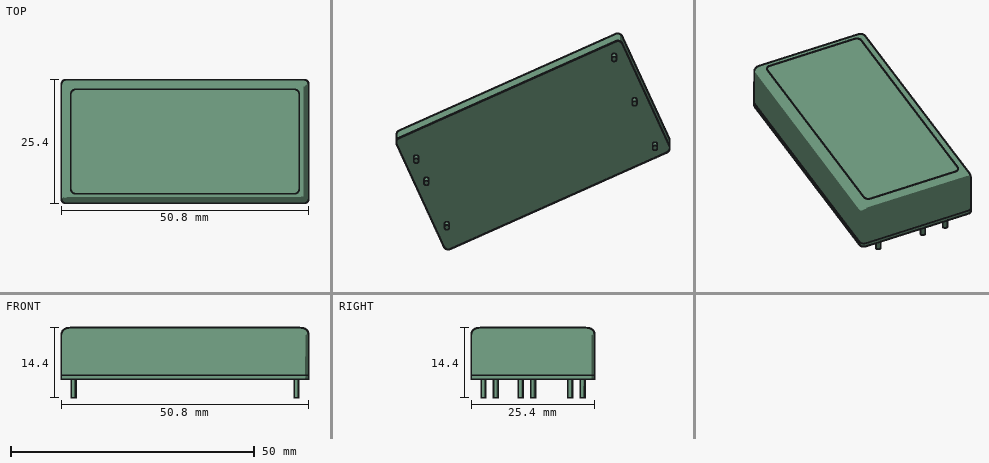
import cadquery as cq

length = 50.8
width = 25.4
corner_radius = 1.0

pin_length = 3.8
base_thickness = 0.85
label_thickness = 0.1
package_height = 10.65
cover_height = package_height - base_thickness - label_thickness
top_edge_radius = 1.5

label_inset = 2.0
label_corner_radius = 1.0

pin_diameter = 1.0
grid_pitch = 2.55
pin_row_x = 9 * grid_pitch
left_row_steps = (-3, -1, 3)
right_row_steps = (-4, 0, 4)


def rounded_slab(size_x, size_y, thickness, radius, bottom_z):
    """Flat block with rounded vertical corners."""
    slab = cq.Workplane("XY").workplane(offset=bottom_z).rect(size_x, size_y).extrude(thickness)
    return slab.edges("|Z").fillet(radius)


def make_base():
    return rounded_slab(length, width, base_thickness, corner_radius, 0)


def make_cover():
    """Block on the base plate, rounded along its vertical and top edges."""
    block = cq.Workplane("XY").workplane(offset=base_thickness).rect(length, width).extrude(cover_height)
    rounded_edges = block.edges("|Z").fillet(corner_radius)
    return rounded_edges.faces(">Z").edges().fillet(top_edge_radius)


def make_label():
    return rounded_slab(
        length - 2 * label_inset,
        width - 2 * label_inset,
        label_thickness,
        label_corner_radius,
        base_thickness + cover_height,
    )


def make_pin(x, y):
    """Round pin hanging from the underside of the base plate."""
    return cq.Workplane("XY").center(x, y).circle(pin_diameter / 2).extrude(-pin_length)


base = make_base()
cover = make_cover()
label = make_label()

pins = []
for row_x, row_steps in ((-pin_row_x, left_row_steps), (pin_row_x, right_row_steps)):
    for step in row_steps:
        pins.append(make_pin(row_x, step * grid_pitch).val())

result = cq.Compound.makeCompound([base.val(), cover.val(), label.val(), *pins])